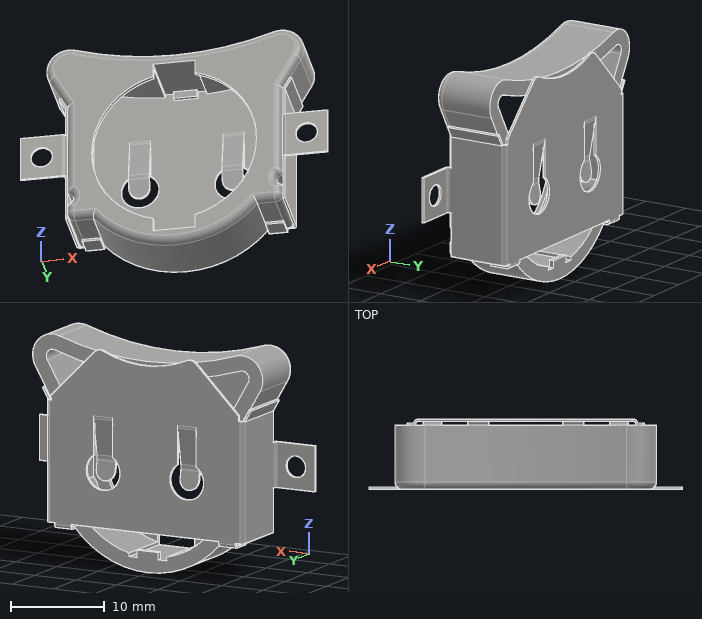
import cadquery as cq
import math


housing_depth = 6.85
side_x = 11.7
bottom_radius = 11.7
shoulder_z = -7.58
lobe_radius = 2.47
lobe_x = 11.5
lobe_z = 10.72
flank_angle = math.radians(30)
top_radius = 34.75
edge_radius = 0.8
wall = 1.67
front_thickness = 0.5
opening_radius = 8.95
slot_width = 4.55
slot_reach = 10.15
stop_width = 2.55
stop_height = 0.8
stop_thickness = 0.5
notch_radius = 0.65
notch_z = -4.98
notch_mouth_radius = 0.2

sheet = 0.25
inner_bend = 0.15
outer_bend = inner_bend + sheet
clip_back = 7.48
plate_front = clip_back - sheet
clip_side = side_x + sheet
clip_front = 0.7
clip_bottom = -7.25
plate_side = 11.35
plate_base_z = 5.35
plate_corner_z = 6.7
plate_dip_z = 11.02
plate_dip_radius = 12.35
plate_peak_radius = 1.0
flare_length = 1.5
lug_reach = 16.7
lug_height = 5.0
lug_z = 0.1
lug_hole_x = 14.4
lug_hole_radius = 1.17
foot_inner_x = 8.95
foot_outer_x = 10.95
foot_front = 5.0

tongue_x = 5.08
tongue_width = 2.27
tongue_root_z = 4.95
tongue_bend_z = 4.78
tongue_crest_z = 0.27
tongue_crest_y = 6.4
tongue_tip_z = -2.15
tongue_tip_y = 6.85
tongue_bend_radius = 1.5
tongue_hole_radius = 2.05
tongue_hole_z = -1.07


def front_plane(y=0.0):
    """Workplane facing the front, with local axes X and Z; a negative extrusion goes back."""
    return cq.Workplane("XZ", origin=(0, y, 0))


def block(x_range, y_range, z_range):
    """Box between the given limits."""
    sizes = [high - low for low, high in (x_range, y_range, z_range)]
    return cq.Workplane("XY").box(*sizes, centered=False).translate((x_range[0], y_range[0], z_range[0]))


def both_sides(right_half):
    """The shape together with its mirror image in X."""
    return right_half.union(right_half.mirror("YZ"))


def flank_corner_z(inset=0.0):
    """Height where a sloping flank meets the straight side wall."""
    radius = lobe_radius - inset
    tangent_x = lobe_x + radius * math.cos(flank_angle)
    tangent_z = lobe_z - radius * math.sin(flank_angle)
    return tangent_z - (tangent_x - side_x + inset) / math.tan(flank_angle)


def housing_outline(y, inset=0.0):
    """Closed housing contour, moved inwards by inset."""
    side = side_x - inset
    shoulder = shoulder_z + inset
    rim = bottom_radius - inset
    lobe = lobe_radius - inset
    top_arc = top_radius + inset
    rim_x = math.sqrt(rim**2 - shoulder**2)

    lean = math.asin(lobe_x / (top_radius + lobe_radius))
    lobe_top = (lobe_x - lobe * math.sin(lean), lobe_z + lobe * math.cos(lean))
    top_mid_z = lobe_z + (top_radius + lobe_radius) * math.cos(lean) - top_arc
    lobe_end = (lobe_x + lobe * math.cos(flank_angle), lobe_z - lobe * math.sin(flank_angle))
    middle_angle = (math.pi / 2 + lean - flank_angle) / 2
    lobe_mid = (lobe_x + lobe * math.cos(middle_angle), lobe_z + lobe * math.sin(middle_angle))
    corner_z = flank_corner_z(inset)

    return (
        front_plane(y)
        .moveTo(-rim_x, shoulder)
        .threePointArc((0, -rim), (rim_x, shoulder))
        .lineTo(side, shoulder)
        .lineTo(side, corner_z)
        .lineTo(*lobe_end)
        .threePointArc(lobe_mid, lobe_top)
        .threePointArc((0, top_mid_z), (-lobe_top[0], lobe_top[1]))
        .threePointArc((-lobe_mid[0], lobe_mid[1]), (-lobe_end[0], lobe_end[1]))
        .lineTo(-side, corner_z)
        .lineTo(-side, shoulder)
        .close()
    )


def side_cylinders(front_y, radius):
    """Cylinders on the axes of the side notches, from front_y to the back of the housing."""
    return (
        front_plane(front_y)
        .pushPoints([(-side_x, notch_z), (side_x, notch_z)])
        .circle(radius)
        .extrude(front_y - housing_depth)
    )


def lengthwise_edges_at(body, z, reach):
    """Edges of the body along Y at both side walls, within reach of the given height."""
    region = cq.selectors.BoxSelector(
        (-side_x - reach, 0, z - reach), (side_x + reach, housing_depth, z + reach)
    )
    return body.edges("|Y").edges(region).edges("<X or >X")


def make_shell():
    """Housing block with side notches, and with its front rim and lower corners rounded."""
    notches = side_cylinders(0, notch_radius)
    body = housing_outline(0).extrude(-housing_depth).cut(notches)
    body = lengthwise_edges_at(body, notch_z, notch_radius + notch_mouth_radius).fillet(notch_mouth_radius)
    lower_corners = lengthwise_edges_at(body, shoulder_z, edge_radius)
    return body.faces("<Y").edges().add(lower_corners).fillet(edge_radius)


def make_cavity():
    """Space for the coin, open at the back, leaving an even wall around the side notches."""
    cavity = housing_outline(front_thickness, wall).extrude(front_thickness - housing_depth)
    return cavity.cut(side_cylinders(front_thickness, notch_radius + wall))


def make_housing():
    opening = front_plane().circle(opening_radius).extrude(-front_thickness)
    keyway = front_plane().rect(slot_width, 2 * slot_reach).extrude(-housing_depth)
    body = make_shell().cut(make_cavity()).cut(opening).cut(keyway)

    half_stop = stop_width / 2
    stop_y = (housing_depth - stop_thickness, housing_depth)
    for low_z in (-slot_reach, slot_reach - stop_height):
        body = body.union(block((-half_stop, half_stop), stop_y, (low_z, low_z + stop_height)))
    return body


def make_channel():
    """Plate and both side walls, bent from one strip."""
    z_range = (clip_bottom, flank_corner_z())
    outer = block((-clip_side, clip_side), (clip_front, clip_back), z_range)
    inner = block((-side_x, side_x), (clip_front, plate_front), z_range)
    outer = outer.edges("|Z and >Y").fillet(outer_bend)
    inner = inner.edges("|Z and >Y").fillet(inner_bend)
    return outer.cut(inner)


def make_plate_top():
    """Upper part of the plate, with two rounded peaks and a concave edge between them."""
    slope_sum = plate_side + plate_corner_z
    circle_z = plate_dip_z + plate_dip_radius
    lift = circle_z - slope_sum
    peak_x = (math.sqrt(2 * plate_dip_radius**2 - lift**2) - lift) / 2
    peak_z = slope_sum - peak_x
    top = (
        front_plane(plate_front)
        .moveTo(-plate_side, plate_base_z)
        .lineTo(plate_side, plate_base_z)
        .lineTo(plate_side, plate_corner_z)
        .lineTo(peak_x, peak_z)
        .threePointArc((0, plate_dip_z), (-peak_x, peak_z))
        .lineTo(-plate_side, plate_corner_z)
        .close()
        .extrude(-sheet)
    )
    return top.edges("|Y").edges(">Z").fillet(plate_peak_radius)


def make_flare():
    """Top of the right side wall, bent outwards along the housing flank."""
    along = (math.sin(flank_angle), math.cos(flank_angle))
    outward = (math.cos(flank_angle), -math.sin(flank_angle))
    corner_z = flank_corner_z()
    outer_corner_z = corner_z - sheet * math.tan(flank_angle / 2)
    tip_inner = (side_x + flare_length * along[0], corner_z + flare_length * along[1])
    tip_outer = (tip_inner[0] + sheet * outward[0], tip_inner[1] + sheet * outward[1])
    wall_inner = (side_x, outer_corner_z)
    wall_outer = (clip_side, outer_corner_z)
    return (
        front_plane(clip_front)
        .polyline([wall_inner, wall_outer, tip_outer, tip_inner, (side_x, corner_z)])
        .close()
        .extrude(clip_front - clip_back + outer_bend)
    )


def make_lug():
    """Right solder lug, bent outwards from the front of the side wall."""
    z_range = (lug_z - lug_height / 2, lug_z + lug_height / 2)
    outer = block((side_x, lug_reach), (0, clip_front), z_range).edges("|Z and <X and <Y").fillet(outer_bend)
    inner = block((clip_side, lug_reach), (sheet, clip_front), z_range).edges("|Z and <X and <Y").fillet(inner_bend)
    hole = front_plane().center(lug_hole_x, lug_z).circle(lug_hole_radius).extrude(-sheet)
    return outer.cut(inner).cut(hole)


def make_foot():
    """Right foot, bent forward from the lower edge of the plate under the housing shoulder."""
    x_range = (foot_inner_x, foot_outer_x)
    outer = block(x_range, (foot_front, clip_back), (shoulder_z - sheet, clip_bottom))
    inner = block(x_range, (foot_front, plate_front), (shoulder_z, clip_bottom))
    outer = outer.edges("|X and >Y and <Z").fillet(outer_bend)
    inner = inner.edges("|X and >Y and <Z").fillet(inner_bend)
    return outer.cut(inner)


def make_tongue_window():
    """Opening in the plate around the right tongue: a slot ending in a round hole."""
    half = tongue_width / 2
    slot = block((tongue_x - half, tongue_x + half), (plate_front, clip_back), (tongue_hole_z, tongue_root_z))
    hole = front_plane(plate_front).center(tongue_x, tongue_hole_z).circle(tongue_hole_radius).extrude(-sheet)
    return slot.union(hole)


def make_tongue():
    """Right contact tongue, leaning forward to a crest and back again to a round tip."""
    half = tongue_width / 2
    root_overlap = 0.35
    front_line = [
        (plate_front, tongue_root_z + root_overlap),
        (plate_front, tongue_bend_z),
        (tongue_crest_y, tongue_crest_z),
        (tongue_tip_y, tongue_tip_z),
    ]
    back_line = [(y + sheet, z) for y, z in reversed(front_line)]
    strip = (
        cq.Workplane("YZ", origin=(tongue_x - half, 0, 0))
        .polyline(front_line + back_line)
        .close()
        .extrude(tongue_width)
    )
    strip = strip.edges("|X").edges("not (<Z or >Z)").fillet(tongue_bend_radius)
    tip_centre_z = tongue_tip_z + half
    shape = (
        front_plane()
        .moveTo(tongue_x - half, tip_centre_z)
        .threePointArc((tongue_x, tongue_tip_z), (tongue_x + half, tip_centre_z))
        .lineTo(tongue_x + half, tongue_root_z + root_overlap)
        .lineTo(tongue_x - half, tongue_root_z + root_overlap)
        .close()
        .extrude(-clip_back)
    )
    return strip.intersect(shape)


def make_clip():
    body = make_channel().union(make_plate_top())
    for right_part in (make_flare(), make_lug(), make_foot()):
        body = body.union(both_sides(right_part))
    body = body.cut(both_sides(make_tongue_window()))
    return body.union(both_sides(make_tongue()))


housing = make_housing()
clip = make_clip()
result = cq.Compound.makeCompound([housing.val(), clip.val()])